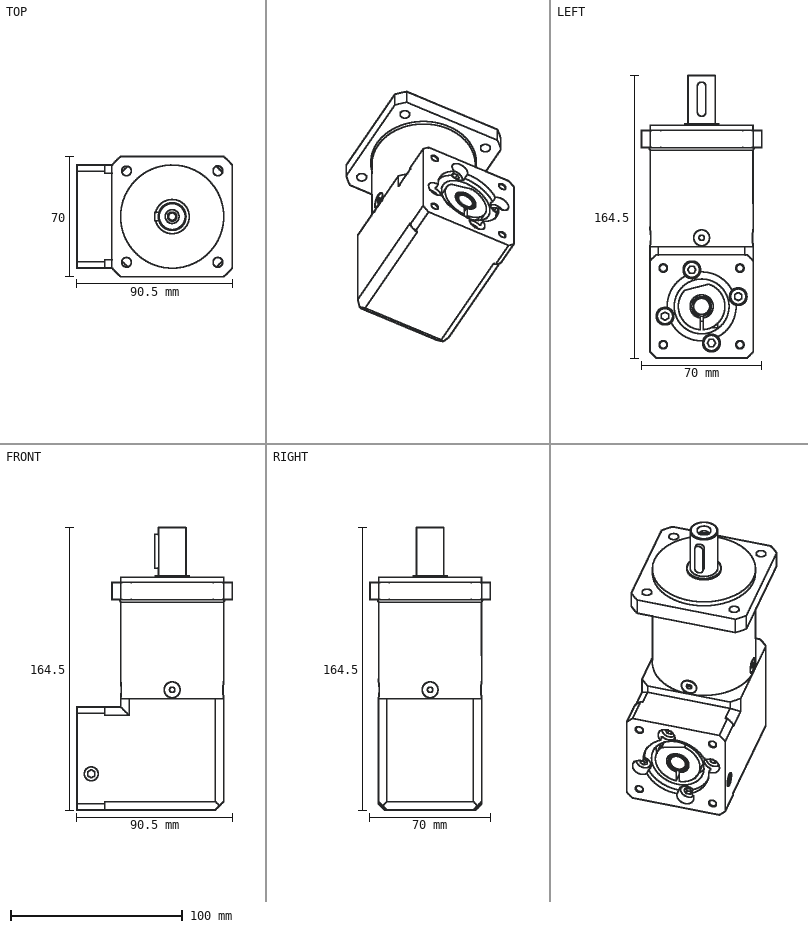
import cadquery as cq
import math


QUARTER_TURNS = (0, 90, 180, 270)

BLOCK_TOP = 64.8
FLANGE_BOTTOM = 122.4
FLANGE_TOP = 132.5
PILOT_TOP = 135.4
COLLAR_TOP = 136.4
SHAFT_TOP = 164.5

BODY_SIZE = 60.0
BODY_HALF = BODY_SIZE / 2
BLOCK_CHAMFER = 5.0

ADAPTER_FACE = -55.5
ADAPTER_LENGTH = 16.1
ADAPTER_BACK = ADAPTER_FACE + ADAPTER_LENGTH
ADAPTER_TURNED_DIA = 80.0
INPUT_Z = BODY_HALF
ADAPTER_HOLE_SPACING = 44.5
ADAPTER_HOLE_DIA = 4.1
ADAPTER_HOLE_CHAMFER = 0.3
ADAPTER_HOLE_DEPTH = 12.0

MOTOR_PILOT_DIA = 40.1
MOTOR_PILOT_DEPTH = 3.5
HUB_BORE_DIA = 31.9
HUB_BORE_DEPTH = 13.0

HUB_DIA = 27.1
HUB_FLAT_DISTANCE = 11.5
HUB_FLAT_ANGLE = -14.3
HUB_MOUTH_DIA = 13.5
BUSHING_DIA = 11.4
MOUTH_STEP = 0.2
INPUT_BORE_DIA = 9.4
INPUT_BORE_DEPTH = 25.0
SLIT_WIDTH = 1.8
SLIT_STEP_RADIUS = 8.7
SLIT_SHALLOW_DEPTH = 5.0

CLAMP_X = ADAPTER_FACE + 8.4
CLAMP_Z = 21.0
CLAMP_HEAD_DIA = 7.0
CLAMP_HEAD_Y = -9.4
ACCESS_PLUG_DIA = 8.0
ACCESS_PLUG_RECESS = 0.2
ACCESS_PLUG_HEX = 4.1
ACCESS_PLUG_HEX_DEPTH = 2.5

SCREW_CIRCLE_RADIUS = 22.0
SCREW_ANGLE = 15.0
SCREW_POCKET_DIA = 10.2
SCREW_POCKET_DEPTH = 5.5
SCREW_HEAD_DIA = 8.9
SCREW_GAP_DEPTH = 3.3
SCREW_HEX = 4.1
SCREW_HEX_DEPTH = 2.5

FLARE_RADIUS = 30.8
FLARE_HEIGHT = 1.5
SIDE_PLUG_Z = 69.9
SIDE_PLUG_DIA = 9.2
SIDE_PLUG_FLAT_DEPTH = 0.5
SIDE_PLUG_HOLE_DIA = 3.1
SIDE_PLUG_HOLE_DEPTH = 2.0

FLANGE_SIZE = 70.0
FLANGE_TURNED_DIA = 92.1
FLANGE_HOLE_SPACING = 53.1
FLANGE_HOLE_DIA = 5.6

SHAFT_DIA = 16.1
SHAFT_CHAMFER = 0.5
COLLAR_DIA = 19.9
KEY_WIDTH = 5.0
KEY_HEIGHT = 5.0
KEY_LENGTH = 19.9
KEY_CENTRE_Z = 150.5
KEY_OUTER_X = -10.2
CENTRE_MOUTH_DIA = 8.0
CENTRE_BORE_DIA = 5.3
CENTRE_BORE_DEPTH = 4.0
CENTRE_THREAD_DIA = 4.3
CENTRE_THREAD_DEPTH = 17.0
CENTRE_CONE_ANGLE = 60.0
DRILL_POINT_ANGLE = 120.0


def disc(diameter, bottom, top):
    """Cylinder on the output axis."""
    return cq.Workplane("XY").workplane(offset=bottom).circle(diameter / 2).extrude(top - bottom)


def input_plane(depth, y=0.0, z=0.0):
    """Plane facing into the adapter (+X); local x is +Y and local y is +Z."""
    return cq.Workplane("YZ", origin=(ADAPTER_FACE + depth, y, INPUT_Z + z))


def hexagon_dia(flats):
    """Corner-to-corner size of a hexagon from its size across flats."""
    return flats / math.cos(math.radians(30))


def angle_block():
    blank = cq.Workplane("XY").box(BODY_SIZE, BODY_SIZE, BLOCK_TOP, centered=(True, True, False))
    tower = blank.edges("|Z").chamfer(BLOCK_CHAMFER)
    tower = tower.intersect(blank.edges("<Z and |X").chamfer(BLOCK_CHAMFER))
    tower = tower.intersect(blank.edges("<Z and |Y").chamfer(BLOCK_CHAMFER))
    arm = cq.Workplane("YZ", origin=(ADAPTER_BACK, 0, INPUT_Z)).rect(BODY_SIZE, BODY_SIZE)
    arm = arm.extrude(-ADAPTER_BACK).edges("|X").chamfer(BLOCK_CHAMFER)
    return tower.union(arm)


def adapter_plate():
    plate = input_plane(0).rect(BODY_SIZE, BODY_SIZE).extrude(ADAPTER_LENGTH)
    turned = input_plane(0).circle(ADAPTER_TURNED_DIA / 2).extrude(ADAPTER_LENGTH)
    return plate.intersect(turned)


def adapter_corner_holes():
    spacing = ADAPTER_HOLE_SPACING
    corners = input_plane(0).rect(spacing, spacing, forConstruction=True).vertices()
    holes = corners.circle(ADAPTER_HOLE_DIA / 2).extrude(ADAPTER_HOLE_DEPTH)
    mouth_radius = ADAPTER_HOLE_DIA / 2 + ADAPTER_HOLE_CHAMFER
    mouths = corners.circle(mouth_radius).extrude(ADAPTER_HOLE_CHAMFER, taper=45)
    return holes.union(mouths)


def screw_pockets():
    """Four pockets around the input axis, each holding a socket head with a gap around it."""
    first_angle = math.radians(SCREW_ANGLE)
    y = SCREW_CIRCLE_RADIUS * math.sin(first_angle)
    z = SCREW_CIRCLE_RADIUS * math.cos(first_angle)
    head = input_plane(SCREW_POCKET_DEPTH, y, z)
    gap = head.circle(SCREW_POCKET_DIA / 2).circle(SCREW_HEAD_DIA / 2).extrude(SCREW_GAP_DEPTH)
    socket = head.polygon(6, hexagon_dia(SCREW_HEX)).extrude(SCREW_HEX_DEPTH)
    pocket = input_plane(0, y, z).circle(SCREW_POCKET_DIA / 2).extrude(SCREW_POCKET_DEPTH)
    pocket = pocket.union(gap).union(socket)
    pockets = cq.Workplane("XY")
    for angle in QUARTER_TURNS:
        pockets = pockets.union(pocket.rotate((0, 0, INPUT_Z), (1, 0, INPUT_Z), angle))
    return pockets


def hub_gap():
    """Space around the clamping hub, which stands level with the motor pilot floor."""
    height = HUB_BORE_DEPTH - MOTOR_PILOT_DEPTH
    bore = input_plane(MOTOR_PILOT_DEPTH).circle(HUB_BORE_DIA / 2).extrude(height)
    hub = input_plane(MOTOR_PILOT_DEPTH).circle(HUB_DIA / 2).extrude(height)
    beyond_flat = (
        input_plane(MOTOR_PILOT_DEPTH)
        .transformed(rotate=(0, 0, HUB_FLAT_ANGLE))
        .center(0, HUB_FLAT_DISTANCE + HUB_DIA / 2)
        .rect(2 * HUB_DIA, HUB_DIA)
        .extrude(height)
    )
    return bore.cut(hub.cut(beyond_flat))


def input_bore():
    """Motor shaft bore in a bushing that sits one small step below the mouth of the hub."""
    mouth = input_plane(MOTOR_PILOT_DEPTH).circle(HUB_MOUTH_DIA / 2).extrude(MOUTH_STEP)
    bushing_step = input_plane(MOTOR_PILOT_DEPTH).circle(BUSHING_DIA / 2).extrude(2 * MOUTH_STEP)
    bore = input_plane(MOTOR_PILOT_DEPTH).circle(INPUT_BORE_DIA / 2).extrude(INPUT_BORE_DEPTH)
    return mouth.union(bushing_step).union(bore)


def slit_stretch(start_radius, end_radius, depth):
    """Stretch of the clamping slit below the input axis, between two radii."""
    middle = -(start_radius + end_radius) / 2
    slit = input_plane(MOTOR_PILOT_DEPTH).center(0, middle).rect(SLIT_WIDTH, end_radius - start_radius)
    return slit.extrude(depth)


def hub_slit():
    """Clamping slit from the bushing to the gap around the hub, deeper in its outer stretch."""
    gap_middle_radius = (HUB_DIA + HUB_BORE_DIA) / 4
    inner = slit_stretch(BUSHING_DIA / 2, SLIT_STEP_RADIUS, SLIT_SHALLOW_DEPTH)
    outer = slit_stretch(SLIT_STEP_RADIUS, gap_middle_radius, HUB_BORE_DEPTH - MOTOR_PILOT_DEPTH)
    return inner.union(outer)


def access_plug():
    """Plug in the -Y side of the adapter: a shallow round recess with a hexagon socket."""
    side = cq.Workplane("XZ", origin=(CLAMP_X, -BODY_HALF, CLAMP_Z))
    recess = side.circle(ACCESS_PLUG_DIA / 2).extrude(-ACCESS_PLUG_RECESS)
    socket = side.transformed(rotate=(0, 0, 30)).polygon(6, hexagon_dia(ACCESS_PLUG_HEX))
    return recess.union(socket.extrude(-ACCESS_PLUG_HEX_DEPTH))


def clamp_screw_head():
    """Head of the screw that draws the slit together; its edge shows in the gap around the hub."""
    head_face = cq.Workplane("XZ", origin=(CLAMP_X, CLAMP_HEAD_Y, CLAMP_Z))
    return head_face.circle(CLAMP_HEAD_DIA / 2).extrude(CLAMP_HEAD_Y + SLIT_WIDTH / 2)


def gear_housing():
    housing = disc(BODY_SIZE, BLOCK_TOP, FLANGE_BOTTOM)
    flare = cq.Solid.makeCone(
        BODY_HALF, FLARE_RADIUS, FLARE_HEIGHT, cq.Vector(0, 0, FLANGE_BOTTOM - FLARE_HEIGHT)
    )
    return housing.union(cq.Workplane(flare))


def housing_plugs():
    """Flat plugs sunk into the four sides of the housing, each with a small centre hole."""
    floor_x = BODY_HALF - SIDE_PLUG_FLAT_DEPTH
    floor = cq.Workplane("YZ", origin=(floor_x, 0, SIDE_PLUG_Z))
    plug = floor.circle(SIDE_PLUG_DIA / 2).extrude(2 * SIDE_PLUG_FLAT_DEPTH)
    plug = plug.union(floor.circle(SIDE_PLUG_HOLE_DIA / 2).extrude(-SIDE_PLUG_HOLE_DEPTH))
    plugs = cq.Workplane("XY")
    for angle in QUARTER_TURNS:
        plugs = plugs.union(plug.rotate((0, 0, 0), (0, 0, 1), angle))
    return plugs


def output_flange():
    plane = cq.Workplane("XY").workplane(offset=FLANGE_BOTTOM)
    flange = plane.rect(FLANGE_SIZE, FLANGE_SIZE).extrude(FLANGE_TOP - FLANGE_BOTTOM)
    flange = flange.intersect(disc(FLANGE_TURNED_DIA, FLANGE_BOTTOM, FLANGE_TOP))
    corners = plane.rect(FLANGE_HOLE_SPACING, FLANGE_HOLE_SPACING, forConstruction=True).vertices()
    flange = flange.cut(corners.circle(FLANGE_HOLE_DIA / 2).extrude(FLANGE_TOP - FLANGE_BOTTOM))
    return flange.union(disc(BODY_SIZE, FLANGE_TOP, PILOT_TOP))


def output_shaft():
    shaft = disc(SHAFT_DIA, PILOT_TOP, SHAFT_TOP).faces(">Z").edges().chamfer(SHAFT_CHAMFER)
    key = cq.Workplane("YZ", origin=(KEY_OUTER_X, 0, KEY_CENTRE_Z))
    key = key.slot2D(KEY_LENGTH, KEY_WIDTH, 90).extrude(KEY_HEIGHT)
    return shaft.union(key).union(disc(COLLAR_DIA, PILOT_TOP, COLLAR_TOP))


def shaft_centre():
    """Threaded centre hole with a short clearance bore, a conical mouth and a drill point."""
    slope = math.tan(math.radians(CENTRE_CONE_ANGLE / 2))
    cone_depth = (CENTRE_MOUTH_DIA - CENTRE_BORE_DIA) / 2 / slope
    cone = cq.Workplane(
        cq.Solid.makeCone(
            CENTRE_BORE_DIA / 2, CENTRE_MOUTH_DIA / 2, cone_depth, cq.Vector(0, 0, SHAFT_TOP - cone_depth)
        )
    )
    bore = disc(CENTRE_BORE_DIA, SHAFT_TOP - CENTRE_BORE_DEPTH, SHAFT_TOP)
    thread_bottom = SHAFT_TOP - CENTRE_THREAD_DEPTH
    thread = disc(CENTRE_THREAD_DIA, thread_bottom, SHAFT_TOP)
    tip_height = CENTRE_THREAD_DIA / 2 / math.tan(math.radians(DRILL_POINT_ANGLE / 2))
    tip = cq.Workplane(
        cq.Solid.makeCone(0, CENTRE_THREAD_DIA / 2, tip_height, cq.Vector(0, 0, thread_bottom - tip_height))
    )
    return cone.union(bore).union(thread).union(tip)


motor_pilot = input_plane(0).circle(MOTOR_PILOT_DIA / 2).extrude(MOTOR_PILOT_DEPTH)

input_side = (
    angle_block()
    .union(adapter_plate())
    .cut(motor_pilot)
    .cut(adapter_corner_holes())
    .cut(screw_pockets())
    .cut(hub_gap())
    .cut(hub_slit())
    .cut(access_plug())
    .union(clamp_screw_head())
    .cut(input_bore())
)
output_side = (
    gear_housing()
    .cut(housing_plugs())
    .union(output_flange())
    .union(output_shaft())
    .cut(shaft_centre())
)

result = input_side.union(output_side)